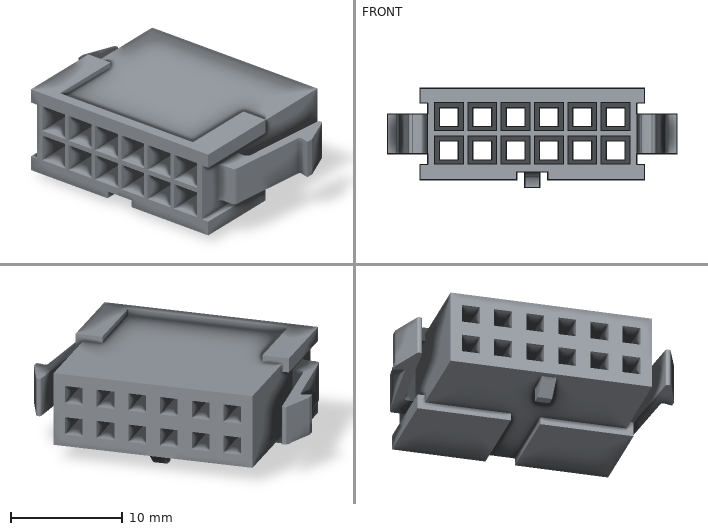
import cadquery as cq

BODY_WIDTH = 18.82
BODY_LENGTH = 16.89
BODY_HEIGHT = 6.9
MID_HEIGHT = BODY_HEIGHT / 2

FLANGE_WIDTH = 20.2
FLANGE_LENGTH = 8.41
FLANGE_TOP = 7.55
FLANGE_BOTTOM = -0.7
UPPER_LIP_HEIGHT = 1.35
LOWER_LIP_HEIGHT = 1.4
TOP_BAND_LENGTH = 1.02
TOP_RAIL_WIDTH = 2.53
SLOT_WIDTH = 2.75

COLUMNS = 6
ROWS = 2
PITCH = 3.0
CAVITY_WIDTH = 2.6
CAVITY_HEIGHT = 2.52
CAVITY_DEPTH = 12.0
CAVITY_RAISE = 0.05
CONTACT_HOLE = 1.67

ARM_HEIGHT = 3.6
ARM_FRONT = 2.59
ROOT_BACK = 5.25
FOOT_X = 11.1
INNER_BEND_X = 10.5
BARB_ROOT_X = 11.98
BARB_ROOT_Y = 11.03
BARB_X = 13.04
BARB_FRONT = 10.74
BARB_BACK = 11.45
ARM_TIP = 14.55
TIP_INNER_X = 11.4
TIP_OUTER_X = 11.8
FOOT_RADIUS = 0.35
WALL_FILLET = 0.4
BEND_RADIUS = 0.5
BARB_RADIUS = 0.2
TIP_RADIUS = 0.2

RAMP_WIDTH = 1.35
RAMP_BOTTOM = -1.4
RAMP_FRONT = 13.87
RAMP_FLAT_END = 14.76
RAMP_BACK = 16.25
RAMP_FILLET = 0.4


def box(x_range, y_range, z_range):
    """Axis-aligned box between the given limits."""
    lows, highs = zip(x_range, y_range, z_range)
    sizes = [high - low for low, high in zip(lows, highs)]
    return cq.Workplane("XY").box(*sizes, centered=False).translate(lows)


def centred_box(width, y_range, z_range):
    """Box of the given width, centred on x = 0."""
    return box((-width / 2, width / 2), y_range, z_range)


def make_body():
    """Plain rectangular housing block."""
    return centred_box(BODY_WIDTH, (0, BODY_LENGTH), (0, BODY_HEIGHT))


def make_upper_flange():
    """U-shaped flange: a front band with a rail along each side."""
    flange_bottom = FLANGE_TOP - UPPER_LIP_HEIGHT
    flange = centred_box(FLANGE_WIDTH, (0, FLANGE_LENGTH), (flange_bottom, FLANGE_TOP))
    recess_width = FLANGE_WIDTH - 2 * TOP_RAIL_WIDTH
    recess = centred_box(recess_width, (TOP_BAND_LENGTH, FLANGE_LENGTH), (BODY_HEIGHT, FLANGE_TOP))
    return flange.cut(recess)


def make_lower_flange():
    """Flat flange with a central slot below the body."""
    flange_top = FLANGE_BOTTOM + LOWER_LIP_HEIGHT
    flange = centred_box(FLANGE_WIDTH, (0, FLANGE_LENGTH), (FLANGE_BOTTOM, flange_top))
    slot = centred_box(SLOT_WIDTH, (0, FLANGE_LENGTH), (FLANGE_BOTTOM, 0))
    return flange.cut(slot)


def fillet_arm_edge(arm, x, y, radius):
    """Round the upright edge of the arm nearest to the point (x, y)."""
    nearest = cq.selectors.NearestToPointSelector((x, y, MID_HEIGHT))
    return arm.edges("|Z").edges(nearest).fillet(radius)


def make_right_arm():
    """Springy side arm with a barbed tip, flared where it meets the body."""
    wall_x = BODY_WIDTH / 2
    outline = [
        (wall_x, ARM_FRONT - WALL_FILLET),
        (FOOT_X, ARM_FRONT),
        (BARB_ROOT_X, BARB_ROOT_Y),
        (BARB_X, BARB_FRONT),
        (BARB_X, BARB_BACK),
        (TIP_OUTER_X, ARM_TIP),
        (TIP_INNER_X, ARM_TIP),
        (INNER_BEND_X, ROOT_BACK),
        (wall_x, ROOT_BACK),
    ]
    arm = (
        cq.Workplane("XY", origin=(0, 0, MID_HEIGHT - ARM_HEIGHT / 2))
        .moveTo(*outline[0])
        .radiusArc((wall_x + WALL_FILLET, ARM_FRONT), WALL_FILLET)
        .lineTo(*outline[1])
    )
    for point in outline[2:]:
        arm = arm.lineTo(*point)
    arm = arm.close().extrude(ARM_HEIGHT)
    arm = fillet_arm_edge(arm, FOOT_X, ARM_FRONT, FOOT_RADIUS)
    arm = fillet_arm_edge(arm, BARB_ROOT_X, BARB_ROOT_Y, BARB_RADIUS)
    arm = fillet_arm_edge(arm, TIP_OUTER_X, ARM_TIP, TIP_RADIUS)
    arm = fillet_arm_edge(arm, TIP_INNER_X, ARM_TIP, TIP_RADIUS)
    return fillet_arm_edge(arm, INNER_BEND_X, ROOT_BACK, BEND_RADIUS)


def make_ramp():
    """Locking ramp with a concave fillet where its front meets the body."""
    return (
        cq.Workplane("YZ", origin=(-RAMP_WIDTH / 2, 0, 0))
        .moveTo(RAMP_FRONT - RAMP_FILLET, 0)
        .radiusArc((RAMP_FRONT, -RAMP_FILLET), RAMP_FILLET)
        .lineTo(RAMP_FRONT, RAMP_BOTTOM)
        .lineTo(RAMP_FLAT_END, RAMP_BOTTOM)
        .lineTo(RAMP_BACK, 0)
        .close()
        .extrude(RAMP_WIDTH)
    )


def cavity_grid(centre_height):
    """Workplane with one point per contact, centred at the given height."""
    plane = cq.Workplane("XZ", origin=(0, 0, centre_height))
    return plane.rarray(PITCH, PITCH, COLUMNS, ROWS)


def make_cavities():
    """Grid of wide front pockets, each continued by a narrow through hole."""
    pocket_grid = cavity_grid(MID_HEIGHT + CAVITY_RAISE)
    pockets = pocket_grid.rect(CAVITY_WIDTH, CAVITY_HEIGHT).extrude(-CAVITY_DEPTH)
    holes = cavity_grid(MID_HEIGHT).rect(CONTACT_HOLE, CONTACT_HOLE).extrude(-BODY_LENGTH)
    return pockets.union(holes)


right_arm = make_right_arm()
left_arm = right_arm.mirror("YZ")

result = (
    make_body()
    .union(make_upper_flange())
    .union(make_lower_flange())
    .union(right_arm)
    .union(left_arm)
    .union(make_ramp())
    .cut(make_cavities())
)